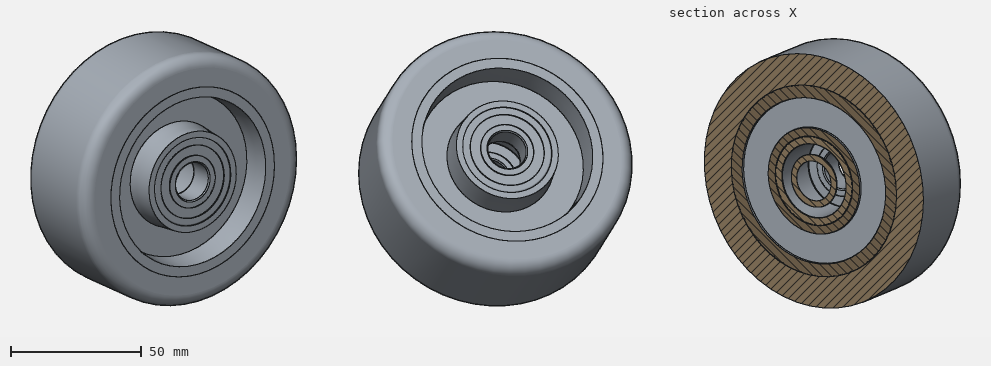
import cadquery as cq
import math

width = 40.0
tread_radius = 50.0
tread_edge_radius = 5.0
tread_bore_radius = 37.5

dish_depth = 11.5
draft_angle = 5.0
draft_run = dish_depth * math.tan(math.radians(draft_angle))
dish_rim_radius = 33.5
dish_floor_radius = dish_rim_radius - draft_run
boss_face_radius = 20.0
boss_base_radius = boss_face_radius + draft_run

bearing_radius = 17.5
bearing_width = 11.0
bearing_bore_radius = 7.5
bearing_edge_radius = 0.6
bearing_bore_chamfer = 0.5
seal_inner_radius = 10.4
seal_outer_radius = 14.5
seal_recess = 0.5

half_width = width / 2
dish_floor = half_width - dish_depth
bearing_seat = half_width - bearing_width

hub_bore_radius = seal_outer_radius

largest_circles = cq.selectors.RadiusNthSelector(-1)
smallest_circles = cq.selectors.RadiusNthSelector(0)


def ring(outer_radius, inner_radius, start, length):
    """Plain ring about the X axis from x = start."""
    return (
        cq.Workplane("YZ", origin=(start, 0, 0))
        .circle(outer_radius)
        .circle(inner_radius)
        .extrude(length)
    )


def make_tread():
    """Tyre ring with rounded outer edges."""
    tread = ring(tread_radius, tread_bore_radius, -half_width, width)
    return tread.edges(largest_circles).fillet(tread_edge_radius)


def make_hub():
    """Revolved hub section: rim, web and boss, with a bearing seat in each end."""
    right_side = [
        (bearing_seat, hub_bore_radius),
        (bearing_seat, bearing_radius),
        (half_width, bearing_radius),
        (half_width, boss_face_radius),
        (dish_floor, boss_base_radius),
        (dish_floor, dish_floor_radius),
        (half_width, dish_rim_radius),
        (half_width, tread_bore_radius),
    ]
    left_side = [(-x, radius) for x, radius in reversed(right_side)]
    return (
        cq.Workplane("XZ")
        .polyline(right_side + left_side)
        .close()
        .revolve(360, (0, 0, 0), (1, 0, 0))
    )


def make_bearing(side):
    """Bearing on the side -1 (-X) or +1 (+X), flush with the boss face."""
    start = bearing_seat if side > 0 else -half_width
    bearing = ring(bearing_radius, bearing_bore_radius, start, bearing_width)
    bearing = bearing.edges(smallest_circles).chamfer(bearing_bore_chamfer)
    bearing = bearing.edges(largest_circles).fillet(bearing_edge_radius)
    for recess_start in (start, start + bearing_width - seal_recess):
        recess = ring(seal_outer_radius, seal_inner_radius, recess_start, seal_recess)
        bearing = bearing.cut(recess)
    return bearing


tread = make_tread()
hub = make_hub()
bearings = [make_bearing(side) for side in (-1, 1)]

result = cq.Compound.makeCompound(
    [tread.val(), hub.val(), *[bearing.val() for bearing in bearings]]
)